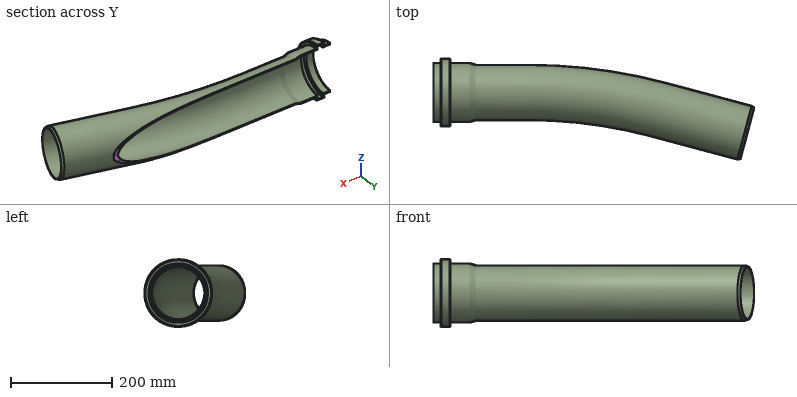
import cadquery as cq
import math

overall_length = 634.5

pipe_radius = 110.0 / 2
bore_radius = 103.5 / 2

bend_angle = 15.0
bend_radius = 999.5
spigot_length = 181.0
tip_radius = 52.5
tip_chamfer_length = 6.0

bend_sine = math.sin(math.radians(bend_angle))
bend_cosine = math.cos(math.radians(bend_angle))
bend_run = bend_radius * bend_sine
bend_drop = bend_radius * (1 - bend_cosine)
spigot_run = spigot_length * bend_cosine + tip_radius * bend_sine
inlet_length = overall_length - bend_run - spigot_run

socket_radius = 117.5 / 2
socket_bore_radius = 110.5 / 2
socket_length = 72.0
taper_length = 13.0
taper_end = socket_length + taper_length

bead_radius = 134.0 / 2
bead_start = 14.0
bead_width = 19.5
bead_end = bead_start + bead_width
bead_chamfer = 2.0
groove_radius = 127.0 / 2
bead_wall = socket_radius - socket_bore_radius
groove_start = bead_start + bead_wall
groove_end = bead_end - bead_wall


def revolve_about_x(points):
    """Revolve a closed (x, radius) outline about the X axis."""
    return cq.Workplane("XY").polyline(points).close().revolve(360, (0, 0, 0), (1, 0, 0))


def make_inlet():
    """Socket with its seal bead, running into the straight inlet pipe."""
    return revolve_about_x([
        (0, socket_radius),
        (bead_start, socket_radius),
        (bead_start, bead_radius - bead_chamfer),
        (bead_start + bead_chamfer, bead_radius),
        (bead_end - bead_chamfer, bead_radius),
        (bead_end, bead_radius - bead_chamfer),
        (bead_end, socket_radius),
        (socket_length, socket_radius),
        (taper_end, pipe_radius),
        (inlet_length, pipe_radius),
        (inlet_length, bore_radius),
        (taper_end, bore_radius),
        (socket_length, socket_bore_radius),
        (groove_end, socket_bore_radius),
        (groove_end, groove_radius),
        (groove_start, groove_radius),
        (groove_start, socket_bore_radius),
        (0, socket_bore_radius),
    ])


def make_bend():
    """Pipe ring revolved about the vertical axis through the bend center."""
    ring = cq.Workplane("YZ", origin=(inlet_length, 0, 0)).circle(pipe_radius).circle(bore_radius)
    return ring.revolve(bend_angle, (-bend_radius, 6.5, 0), (-bend_radius, 0, 0))


def make_spigot():
    """Straight outlet with a chamfered tip, turned into line with the bend."""
    spigot = revolve_about_x([
        (0, pipe_radius),
        (spigot_length - tip_chamfer_length, pipe_radius),
        (spigot_length, tip_radius),
        (spigot_length, bore_radius),
        (0, bore_radius),
    ])
    turned = spigot.rotate((0, 0, 0), (0, 0, 1), -bend_angle)
    return turned.translate((inlet_length + bend_run, -bend_drop, 0))


result = make_inlet().union(make_bend()).union(make_spigot())